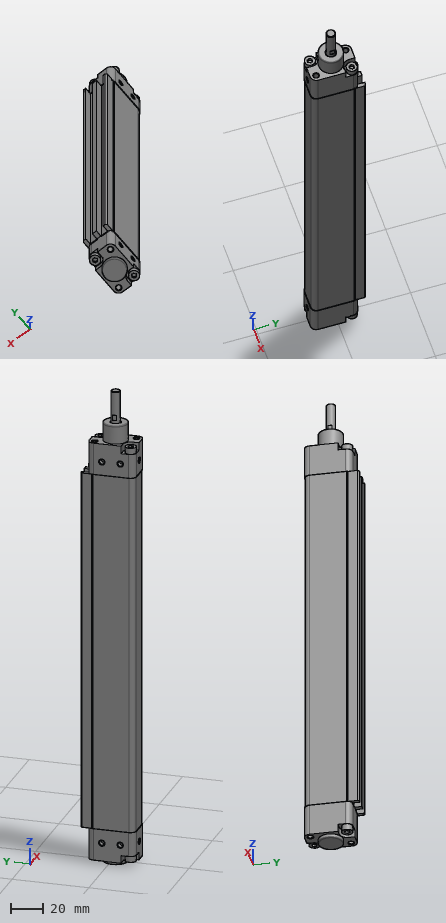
import cadquery as cq
import math

body_width = 20.0
body_depth = 31.0
corner_radius = 4.0
cap_height = 21.0
tube_length = 237.0
tube_inset = 0.4

collar_diameter = 16.0
collar_height = 12.0
boss_height = 2.5
end_rounding = 0.5

rail_top_y = 20.0
rail_floor_y = 15.0
outer_rail_inner_x = 7.0
middle_rail_width = 3.2
rail_chamfer = 1.0
side_groove_y = 12.5
side_groove_width = 0.8
side_groove_depth = 0.3

screw_x = 6.2
screw_y = 11.7
screw_head_diameter = 7.0
screw_head_height = 4.0
screw_socket_across_flats = 3.0
screw_socket_depth = 2.0
screw_pocket_radius = 5.1
screw_pocket_depth = 5.0
mount_hole_diameter = 3.24
mount_hole_depth = 10.0

port_inset = 12.0
port_depth = 4.0
port_diameter = 3.12
side_port_y = 6.0

mouth_diameter = 4.13

rod_diameter = 6.0
rod_extension = 21.0
rod_chamfer = 0.5
rod_insertion = 30.0
rod_seal_diameter = 7.0
rod_seal_depth = 1.0
flat_across = 5.3
flat_length = 3.5
flat_offset = 1.8

rear_face_z = boss_height
tube_start_z = rear_face_z + cap_height
tube_end_z = tube_start_z + tube_length
front_face_z = tube_end_z + cap_height
collar_top_z = front_face_z + collar_height
rod_top_z = collar_top_z + rod_extension
rod_bottom_z = collar_top_z - rod_insertion

half_width = body_width / 2
half_depth = body_depth / 2


def box(x_min, x_max, y_min, y_max, z_min, z_max):
    """Axis-aligned block between the given limits."""
    size = (x_max - x_min, y_max - y_min, z_max - z_min)
    return cq.Workplane("XY").box(*size, centered=False).translate((x_min, y_min, z_min))


def cylinder(x, y, z_min, z_max, diameter):
    """Cylinder parallel to Z."""
    return cq.Workplane("XY", origin=(x, y, z_min)).circle(diameter / 2).extrude(z_max - z_min)


def make_cap(z_min):
    """Rounded rectangular end cap."""
    cap = box(-half_width, half_width, -half_depth, half_depth, z_min, z_min + cap_height)
    return cap.edges("|Z").fillet(corner_radius)


def make_tube():
    """Profile tube, set in from the caps, with three rails on its back and a groove down each side."""
    z_min, z_max = tube_start_z, tube_end_z
    side_x = half_width - tube_inset
    tube = box(-side_x, side_x, tube_inset - half_depth, rail_top_y, z_min, z_max)
    tube = tube.edges("|Z and <Y").fillet(corner_radius - tube_inset)
    tube = tube.edges("|Z and >Y").chamfer(rail_chamfer)
    for side in (-1, 1):
        x_min, x_max = sorted((side * middle_rail_width / 2, side * outer_rail_inner_x))
        channel = box(x_min, x_max, rail_floor_y, rail_top_y, z_min, z_max)
        x_min, x_max = sorted((side * side_x, side * (side_x - side_groove_depth)))
        y_min = side_groove_y - side_groove_width / 2
        groove = box(x_min, x_max, y_min, y_min + side_groove_width, z_min, z_max)
        tube = tube.cut(channel).cut(groove)
    return tube


def make_screw_pocket(side, face_z, inward):
    """Corner pocket around a cap screw, open to two sides and to the end face."""
    reach = body_depth
    x_inner = side * (screw_x - screw_pocket_radius)
    y_inner = side * (screw_y - screw_pocket_radius)
    x_min, x_max = sorted((x_inner, x_inner + side * reach))
    y_min, y_max = sorted((y_inner, y_inner + side * reach))
    z_min, z_max = sorted((face_z, face_z + inward * screw_pocket_depth))
    pocket = box(x_min, x_max, y_min, y_max, z_min, z_max)
    inner_corner = "|Z and <X and <Y" if side > 0 else "|Z and >X and >Y"
    return pocket.edges(inner_corner).fillet(screw_pocket_radius)


def make_screw_head(side, face_z, inward):
    """Socket head standing on the floor of its corner pocket."""
    floor_z = face_z + inward * screw_pocket_depth
    top_z = floor_z - inward * screw_head_height
    head = cylinder(side * screw_x, side * screw_y, *sorted((floor_z, top_z)), screw_head_diameter)
    socket_z = min(top_z, top_z + inward * screw_socket_depth)
    socket = (
        cq.Workplane("XY", origin=(side * screw_x, side * screw_y, socket_z))
        .polygon(6, screw_socket_across_flats / math.cos(math.pi / 6))
        .extrude(screw_socket_depth)
    )
    return head.cut(socket)


def make_countersunk_hole(position, direction, diameter, depth):
    """Blind hole entering at position along direction, with a 45 degree countersunk mouth."""
    sink_depth = (mouth_diameter - diameter) / 2
    start = cq.Vector(*position)
    inward = cq.Vector(*direction)
    bore = cq.Solid.makeCylinder(diameter / 2, depth, start, inward)
    mouth = cq.Solid.makeCone(mouth_diameter / 2, diameter / 2, sink_depth, start, inward)
    return cq.Workplane("XY").add(bore).union(cq.Workplane("XY").add(mouth))


def make_mount_hole(side, face_z, inward):
    """Mounting hole in an end face, on the diagonal without screws."""
    position = (-side * screw_x, side * screw_y, face_z)
    return make_countersunk_hole(position, (0, 0, inward), mount_hole_diameter, mount_hole_depth)


def make_ports(z):
    """Blind ports of one cap: one on the front face, two on the left side."""
    ports = make_countersunk_hole((0, -half_depth, z), (0, 1, 0), port_diameter, port_depth)
    for y in (-side_port_y, side_port_y):
        position = (-half_width, y, z)
        ports = ports.union(make_countersunk_hole(position, (1, 0, 0), port_diameter, port_depth))
    return ports


def make_housing():
    """Tube, both end caps, front collar and rear boss as one solid."""
    collar = cylinder(0, 0, front_face_z, collar_top_z, collar_diameter)
    collar = collar.faces(">Z").edges().fillet(end_rounding)
    boss = cylinder(0, 0, 0, rear_face_z, collar_diameter)
    boss = boss.faces("<Z").edges().fillet(end_rounding)

    housing = make_tube().union(make_cap(rear_face_z)).union(make_cap(tube_end_z))
    end_faces = ((rear_face_z, 1), (front_face_z, -1))
    for face_z, inward in end_faces:
        housing = housing.cut(make_ports(face_z + inward * port_inset))
        for side in (-1, 1):
            housing = housing.cut(make_screw_pocket(side, face_z, inward))
            housing = housing.union(make_screw_head(side, face_z, inward))
            housing = housing.cut(make_mount_hole(side, face_z, inward))
    housing = housing.union(collar).union(boss)

    housing = housing.cut(cylinder(0, 0, rod_bottom_z, collar_top_z, rod_diameter))
    seal_z = collar_top_z - rod_seal_depth
    return housing.cut(cylinder(0, 0, seal_z, collar_top_z, rod_seal_diameter))


def make_rod():
    """Piston rod with a chamfered tip and two wrench flats just above the collar."""
    rod = cylinder(0, 0, rod_bottom_z, rod_top_z, rod_diameter)
    rod = rod.faces(">Z").edges().chamfer(rod_chamfer)
    z_min = collar_top_z + flat_offset
    for side in (-1, 1):
        x_min, x_max = sorted((side * flat_across / 2, side * rod_diameter))
        rod = rod.cut(box(x_min, x_max, -rod_diameter, rod_diameter, z_min, z_min + flat_length))
    return rod


housing = make_housing()
rod = make_rod()

result = cq.Compound.makeCompound([housing.solids().val(), rod.solids().val()])